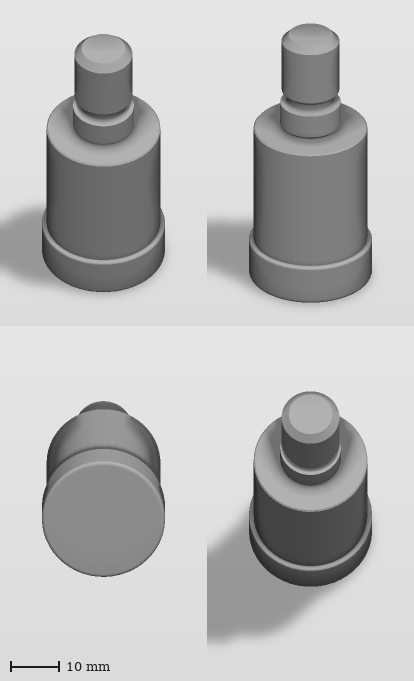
import cadquery as cq

TOTAL_HEIGHT = 57.0

CAP_RADIUS = 12.7
CAP_HEIGHT = 8.55
CROWN_BREAK_RADIUS = 12.0
CROWN_BREAK_HEIGHT = 8.5
CAP_EDGE_HEIGHT = 8.3
CAP_TOP_FILLET = 0.45
CAP_BOTTOM_FILLET = 0.75

BARREL_RADIUS = 11.75
BARREL_TOP = 35.0
BARREL_CHAMFER = 0.3
CAP_FLOOR = CAP_RADIUS - BARREL_RADIUS

COLLAR_RADIUS = 6.25
COLLAR_BOTTOM = 35.95
COLLAR_TOP = 41.0
COLLAR_EDGE_FILLET = 0.2
NECK_FILLET = 0.5
NECK_RADIUS = COLLAR_RADIUS - NECK_FILLET

SHANK_RADIUS = 6.0
SHANK_BOTTOM = 43.85
SHANK_EDGE_FILLET = 0.5
TIP_CHAMFER = 1.5
RELIEF_RADIUS = 4.8
RELIEF_TOP = 43.0
RELIEF_FILLET = 0.85


def revolve_profile(profile):
    """Turn a closed radius-height profile about the Z axis."""
    return profile.close().revolve(360, (0, 0, 0), (0, 1, 0))


def round_rim(body, radius, height, fillet):
    """Round the circular edge of the given radius that lies at the given height."""
    tolerance = 0.005

    def is_rim(edge):
        if edge.geomType() != "CIRCLE":
            return False
        return abs(edge.radius() - radius) < tolerance and abs(edge.Center().z - height) < tolerance

    return body.newObject([edge for edge in body.edges().vals() if is_rim(edge)]).fillet(fillet)


def build_cap():
    cap = revolve_profile(
        cq.Workplane("XZ")
        .lineTo(CAP_RADIUS, 0)
        .lineTo(CAP_RADIUS, CAP_EDGE_HEIGHT)
        .lineTo(CROWN_BREAK_RADIUS, CROWN_BREAK_HEIGHT)
        .lineTo(BARREL_RADIUS, CAP_HEIGHT)
        .lineTo(BARREL_RADIUS, CAP_FLOOR)
        .lineTo(0, CAP_FLOOR)
    )
    cap = round_rim(cap, CAP_RADIUS, CAP_EDGE_HEIGHT, CAP_TOP_FILLET)
    return round_rim(cap, CAP_RADIUS, 0, CAP_BOTTOM_FILLET)


def build_plunger():
    plunger = revolve_profile(
        cq.Workplane("XZ")
        .moveTo(0, CAP_FLOOR)
        .lineTo(BARREL_RADIUS, CAP_FLOOR)
        .lineTo(BARREL_RADIUS, BARREL_TOP - BARREL_CHAMFER)
        .lineTo(BARREL_RADIUS - BARREL_CHAMFER, BARREL_TOP)
        .lineTo(NECK_RADIUS + NECK_FILLET, BARREL_TOP)
        .radiusArc((NECK_RADIUS, BARREL_TOP + NECK_FILLET), NECK_FILLET)
        .lineTo(COLLAR_RADIUS, COLLAR_BOTTOM)
        .lineTo(COLLAR_RADIUS, COLLAR_TOP)
        .lineTo(RELIEF_RADIUS + RELIEF_FILLET, COLLAR_TOP)
        .radiusArc((RELIEF_RADIUS, COLLAR_TOP + RELIEF_FILLET), RELIEF_FILLET)
        .lineTo(RELIEF_RADIUS, RELIEF_TOP)
        .lineTo(SHANK_RADIUS, SHANK_BOTTOM)
        .lineTo(SHANK_RADIUS, TOTAL_HEIGHT - TIP_CHAMFER)
        .lineTo(SHANK_RADIUS - TIP_CHAMFER, TOTAL_HEIGHT)
        .lineTo(0, TOTAL_HEIGHT)
    )
    plunger = round_rim(plunger, COLLAR_RADIUS, COLLAR_BOTTOM, COLLAR_EDGE_FILLET)
    return round_rim(plunger, SHANK_RADIUS, SHANK_BOTTOM, SHANK_EDGE_FILLET)


cap = build_cap()
plunger = build_plunger()
result = cq.Compound.makeCompound([cap.val(), plunger.val()])